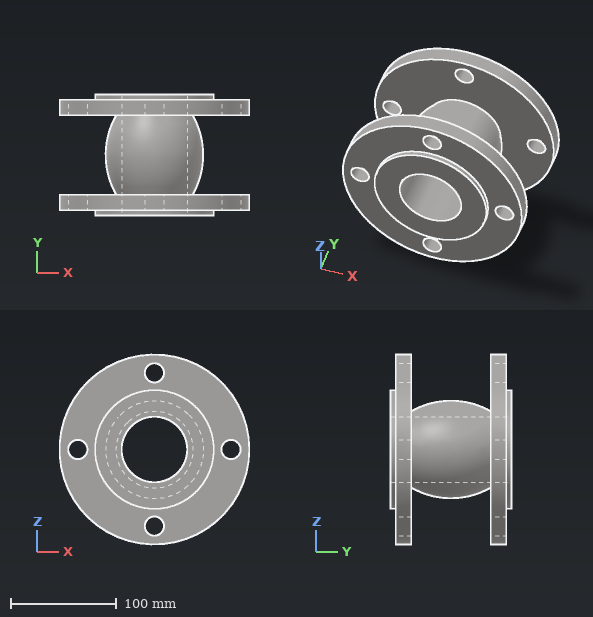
import cadquery as cq

length = 115.0
flange_diameter = 180
flange_thickness = 15.0
face_diameter = 112.5
face_height = 5.0
bore_diameter = 62.0
bulge_diameter = 92.7
neck_diameter = 72.9
bolt_circle_diameter = 145.0
bolt_hole_diameter = 18
bolt_count = 4

face_y = length / 2
flange_outer_y = face_y - face_height
flange_inner_y = flange_outer_y - flange_thickness


def disc(diameter, start_y, end_y):
    """Solid disc about the Y axis between two Y positions."""
    plane = cq.Workplane("XZ", origin=(0, end_y, 0))
    return plane.circle(diameter / 2).extrude(end_y - start_y)


def flange_end():
    """Flange with its raised sealing face at the +Y end."""
    flange = disc(flange_diameter, flange_inner_y, flange_outer_y)
    return flange.union(disc(face_diameter, flange_outer_y, face_y))


bulge = (
    cq.Workplane("XY")
    .moveTo(0, -flange_inner_y)
    .lineTo(neck_diameter / 2, -flange_inner_y)
    .threePointArc((bulge_diameter / 2, 0), (neck_diameter / 2, flange_inner_y))
    .lineTo(0, flange_inner_y)
    .close()
    .revolve(360, (0, 0, 0), (0, 1, 0))
)

end = flange_end()
body = bulge.union(end).union(end.mirror("XZ"))

body = body.cut(disc(bore_diameter, -face_y, face_y))

bolt_holes = (
    cq.Workplane("XZ", origin=(0, face_y, 0))
    .polarArray(bolt_circle_diameter / 2, 0, 360, bolt_count)
    .circle(bolt_hole_diameter / 2)
    .extrude(length)
)
result = body.cut(bolt_holes)